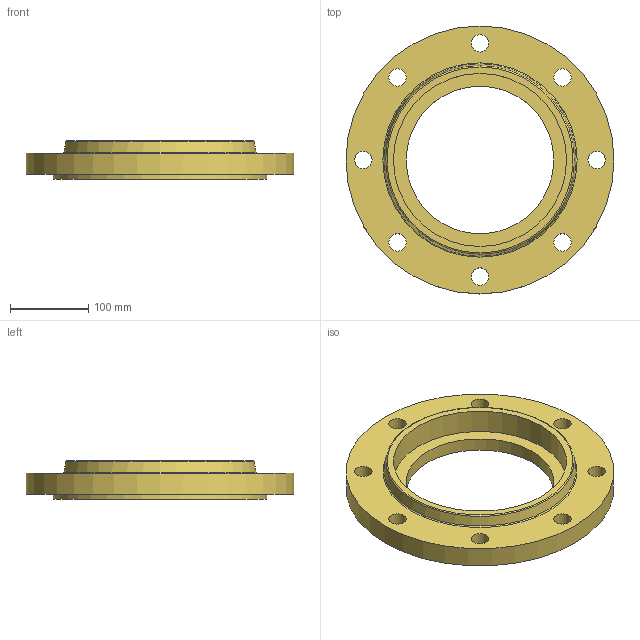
import cadquery as cq
import math

total_height = 49.28
raised_face_height = 6.35
flange_thickness = 26.97
flange_top = raised_face_height + flange_thickness

flange_diameter = 342.9
raised_face_diameter = 273.0
hub_base_diameter = 246.1
socket_diameter = 221.5
bore_diameter = 188.9

hub_taper_angle = 10.0
hub_base_fillet = 1.5
hub_top_fillet = 1.5

socket_depth = 31.75

bolt_hole_count = 8
bolt_circle_diameter = 298.5
bolt_hole_diameter = 22.4


def disc(diameter, bottom, height):
    """Solid cylinder on the Z axis."""
    return cq.Workplane("XY").workplane(offset=bottom).circle(diameter / 2).extrude(height)


def make_hub():
    """Tapered hub standing on the flange."""
    hub_height = total_height - flange_top
    base_radius = hub_base_diameter / 2
    top_radius = base_radius - hub_height * math.tan(math.radians(hub_taper_angle))
    profile = [
        (0, flange_top),
        (base_radius, flange_top),
        (top_radius, total_height),
        (0, total_height),
    ]
    return cq.Workplane("XZ").polyline(profile).close().revolve(360, (0, 0), (0, 1))


def make_body():
    """Raised face, flange and hub as one solid, with the hub edges rounded."""
    raised_face = disc(raised_face_diameter, 0, raised_face_height)
    flange = disc(flange_diameter, raised_face_height, flange_thickness)
    body = raised_face.union(flange).union(make_hub())
    body = body.faces(">Z").edges().fillet(hub_top_fillet)
    hub_root = cq.selectors.RadiusNthSelector(0)
    level_zone = cq.selectors.BoxSelector(
        (-hub_base_diameter, -hub_base_diameter, flange_top - hub_base_fillet),
        (hub_base_diameter, hub_base_diameter, flange_top + hub_base_fillet),
    )
    return body.edges(level_zone).edges(hub_root).fillet(hub_base_fillet)


def cut_bore_and_socket(body):
    """Through bore with the wider socket above it."""
    bore = disc(bore_diameter, 0, total_height)
    socket = disc(socket_diameter, total_height - socket_depth, socket_depth)
    return body.cut(bore).cut(socket)


def cut_bolt_holes(body):
    """Evenly spaced bolt holes through the flange."""
    holes = (
        cq.Workplane("XY")
        .workplane(offset=raised_face_height)
        .polarArray(bolt_circle_diameter / 2, 0, 360, bolt_hole_count)
        .circle(bolt_hole_diameter / 2)
        .extrude(flange_thickness)
    )
    return body.cut(holes)


result = cut_bolt_holes(cut_bore_and_socket(make_body()))